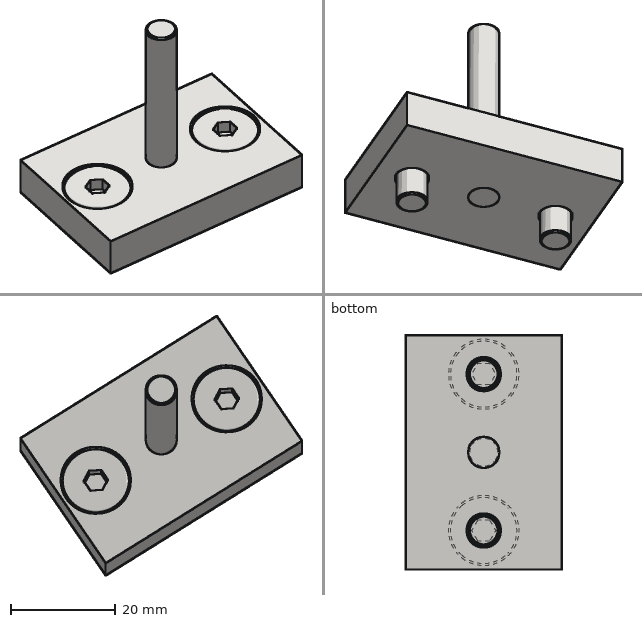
import cadquery as cq
import math

total_height = 46.0

plate_x = 30.0
plate_y = 45.0
plate_thickness = 8.0

pin_diameter = 6.0
pin_chamfer = 0.3

screw_spacing = 30.0
screw_diameter = 6.0
screw_projection = 6.0
screw_tip_chamfer = 0.3
head_rim_diameter = 12.7
head_rim_fillet = 0.35
socket_across_flats = 4.0
socket_depth = 2.5

countersink_diameter = 13.5
countersink_angle = 90.0
clearance_diameter = 6.6

screw_positions = [(0, -screw_spacing / 2), (0, screw_spacing / 2)]
screw_bottom = -plate_thickness - screw_projection
pin_top = total_height + screw_bottom


def cone_depth(diameter):
    """Depth below the plate top at which the countersink has this diameter."""
    return (countersink_diameter - diameter) / 2 / math.tan(math.radians(countersink_angle / 2))


def make_plate():
    """Rectangular plate with a pin hole and two countersunk through holes."""
    plate = cq.Workplane("XY").box(plate_x, plate_y, plate_thickness, centered=(True, True, False))
    plate = plate.translate((0, 0, -plate_thickness))
    plate = plate.faces(">Z").workplane(origin=(0, 0, 0)).hole(pin_diameter)
    plate = plate.faces(">Z").workplane(origin=(0, 0, 0)).pushPoints(screw_positions)
    return plate.cskHole(clearance_diameter, countersink_diameter, countersink_angle)


def make_pin():
    """Plain pin from the plate underside upward, chamfered at its free end."""
    pin = cq.Workplane("XY", origin=(0, 0, -plate_thickness)).circle(pin_diameter / 2)
    pin = pin.extrude(pin_top + plate_thickness)
    return pin.faces(">Z").edges().chamfer(pin_chamfer)


def make_screw(position):
    """Screw with a rounded head rim, a seating cone, a hex socket and a chamfered tip."""
    radius = screw_diameter / 2
    profile = [
        (0, 0),
        (head_rim_diameter / 2, 0),
        (head_rim_diameter / 2, -cone_depth(head_rim_diameter)),
        (radius, -cone_depth(screw_diameter)),
        (radius, screw_bottom + screw_tip_chamfer),
        (radius - screw_tip_chamfer, screw_bottom),
        (0, screw_bottom),
    ]
    screw = cq.Workplane("XZ").polyline(profile).close().revolve(360, (0, 0), (0, 1))
    screw = screw.faces(">Z").edges().fillet(head_rim_fillet)
    socket_across_corners = socket_across_flats / math.cos(math.pi / 6)
    socket = cq.Workplane("XY").polygon(6, socket_across_corners).extrude(-socket_depth)
    x, y = position
    return screw.cut(socket).translate((x, y, 0))


plate = make_plate()
pin = make_pin()
screws = [make_screw(position) for position in screw_positions]

result = cq.Compound.makeCompound([plate.val(), pin.val(), *[screw.val() for screw in screws]])